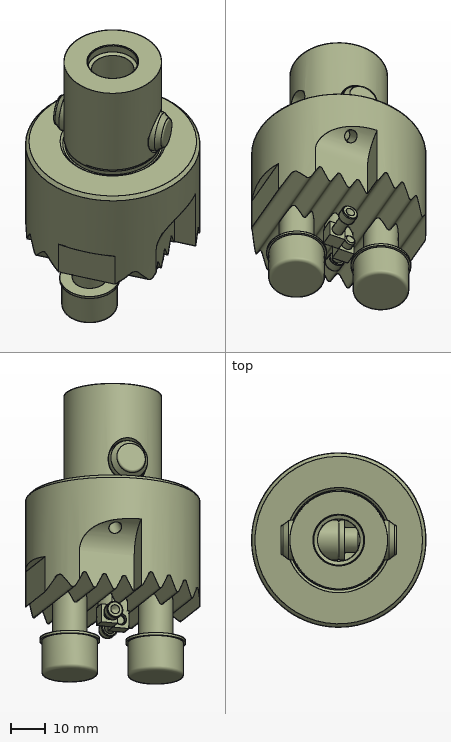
import cadquery as cq
import math


HOUSING_R = 25.0
HOUSING_TOP = 53.15
HOUSING_CHAMFER = 1.0
TOOTH_TIP_Z = 20.4
TOOTH_PITCH = 6.0
TOOTH_HALF_ANGLE = 28.0
TOOTH_ROUND_R = 0.6
WRENCH_FLAT_Y = 23.5
WRENCH_FLAT_TOP = 31.15
WRENCH_FLAT_RUNOUT = 0.7
NOTCH_FACE_X = 18.7
NOTCH_ARC_Z = 30.8
NOTCH_ARC_R = 10.0
COOLANT_D = 3.75
COOLANT_Y = 6.75
COOLANT_ANGLE = 45.0
COOLANT_DEPTH = 6.7

SHANK_R = 14.0
SHANK_TOP = 83.3
SHANK_BOTTOM = 40.0
RELIEF_R = 13.75
RELIEF_TOP = 54.4
RELIEF_TAPER = 0.75
SEAT_RIM_R = 15.1
SEAT_DEPTH = 0.75
BORE_R = 6.1
BORE_ENTRY_R = 7.2
BORE_ENTRY_DEPTH = 2.5
BORE_ENTRY_CHAMFER = 0.25
BORE_CONE_DEPTH = 0.4
BORE_BOTTOM = 53.3
DRILL_HALF_ANGLE = 59.0
RELEASE_HOLE_D = 9.5
RELEASE_HOLE_Z = 65.7

PIN_Z = 60.7
PIN_R = 5.75
PIN_TIP_X = 16.6
PIN_TIP_R = 4.3
PIN_TIP_ROUND = 0.6
PIN_CONE_X = 14.4
PIN_CONE_R = 5.6
PIN_SHOULDER_X = 13.8
PIN_END_ROUND = 0.6
NECK_START_X = 1.7
NECK_END_X = 5.6
NECK_R = 3.6
NECK_FILLET = 0.4
PIN_SINK_R = 6.6
PIN_SINK_HALF_ANGLE = 30.0

ROLLER_X = -3.0
ROLLER_Y = -12.0
ROLLER_R = 8.0
ROLLER_HEIGHT = 10.9
ROLLER_FILLET = 1.0
FLANGE_R = 8.6
FLANGE_THICKNESS = 0.75
AXLE_R = 5.0

MOUNT_TOP = 26.65

BLADE_THICKNESS = 4.2
BLADE_WIDTH = 4.9
BLADE_BOTTOM = 14.7
BLADE_TOP = 20.0
POST_R = 4.5
SCREW_Y = 2.5
SCREW_Z = 17.25
SCREW_HEAD_R = 2.4
SCREW_HEAD_LENGTH = 3.0
SCREW_NECK_R = 1.7
SCREW_NECK_LENGTH = 8.8
SCREW_EDGE_CHAMFER = 0.25
SCREW_TIP_CHAMFER = 0.4
SCREW_SOCKET_R = 1.3
SCREW_SOCKET_DEPTH = 1.25
EXTENDED_HEAD_X = 9.7
SEATED_HEAD_X = 6.25

HALF_TURN = 180
FULL_TURN = 360
CLEAR = 0.8


def cylinder_z(radius, bottom, top, x=0.0, y=0.0):
    return cq.Workplane("XY", origin=(x, y, bottom)).circle(radius).extrude(top - bottom)


def cylinder_x(radius, start, end, y, z):
    return cq.Workplane("YZ", origin=(start, y, z)).circle(radius).extrude(end - start)


def revolve_z(points):
    """Revolve (radius, z) points about the tool axis."""
    return cq.Workplane("XZ").polyline(points).close().revolve(FULL_TURN, (0, 0, 0), (0, 1, 0))


def half_turn(body):
    """The same body turned half a turn about the tool axis."""
    return body.rotate((0, 0, 0), (0, 0, 1), HALF_TURN)


def make_roller():
    wheel = cylinder_z(ROLLER_R, 0, ROLLER_HEIGHT, ROLLER_X, ROLLER_Y)
    wheel = wheel.faces("<Z").edges().fillet(ROLLER_FILLET)
    flange = cylinder_z(FLANGE_R, ROLLER_HEIGHT - FLANGE_THICKNESS, ROLLER_HEIGHT, ROLLER_X, ROLLER_Y)
    axle = cylinder_z(AXLE_R, ROLLER_FILLET, MOUNT_TOP, ROLLER_X, ROLLER_Y)
    return wheel.union(flange).union(axle)


def make_screw(head_x):
    def along_axis(radius, start, end):
        return cylinder_x(radius, start, end, SCREW_Y, SCREW_Z)

    outer_x = -head_x - SCREW_HEAD_LENGTH
    tip_x = -head_x + SCREW_NECK_LENGTH
    head = along_axis(SCREW_HEAD_R, outer_x, -head_x).edges().chamfer(SCREW_EDGE_CHAMFER)
    neck = along_axis(SCREW_NECK_R, -head_x, tip_x).faces(">X").edges().chamfer(SCREW_TIP_CHAMFER)
    socket_mouth = cq.Vector(outer_x, SCREW_Y, SCREW_Z)
    socket = cq.Workplane(
        cq.Solid.makeCone(SCREW_SOCKET_R, 0, SCREW_SOCKET_DEPTH, socket_mouth, cq.Vector(1, 0, 0))
    )
    return head.union(neck).cut(socket)


def make_blade():
    def box(width, top):
        height = top - BLADE_BOTTOM
        blank = cq.Workplane("XY").box(BLADE_THICKNESS, width, height, centered=False)
        return blank.translate((-BLADE_THICKNESS, 0, BLADE_BOTTOM))

    block = box(BLADE_WIDTH, BLADE_TOP)
    post = cylinder_z(POST_R, BLADE_BOTTOM, MOUNT_TOP).intersect(box(POST_R, MOUNT_TOP))
    screw_hole = cylinder_x(SCREW_NECK_R, -BLADE_THICKNESS, 0, SCREW_Y, SCREW_Z)
    return block.union(post).cut(screw_hole)


def make_plain_pin():
    """The -X plunger, with a stepped-down conical tip and a rounded inner end."""
    outline = (
        cq.Workplane("XZ", origin=(0, 0, PIN_Z))
        .moveTo(0, 0)
        .lineTo(-PIN_TIP_X, 0)
        .lineTo(-PIN_TIP_X, PIN_TIP_R - PIN_TIP_ROUND)
        .radiusArc((-PIN_TIP_X + PIN_TIP_ROUND, PIN_TIP_R), PIN_TIP_ROUND)
        .lineTo(-PIN_CONE_X, PIN_CONE_R)
        .lineTo(-PIN_SHOULDER_X, PIN_R)
        .lineTo(-PIN_END_ROUND, PIN_R)
        .radiusArc((0, PIN_R - PIN_END_ROUND), PIN_END_ROUND)
        .close()
    )
    return outline.revolve(FULL_TURN, (0, 0, 0), (1, 0, 0))


def make_necked_pin():
    """The +X plunger, with a filleted neck near its inner end."""
    neck_groove = (
        cq.Workplane("XZ", origin=(0, 0, PIN_Z))
        .moveTo(NECK_START_X, PIN_R + CLEAR)
        .lineTo(NECK_START_X, NECK_R + NECK_FILLET)
        .radiusArc((NECK_START_X + NECK_FILLET, NECK_R), -NECK_FILLET)
        .lineTo(NECK_END_X - NECK_FILLET, NECK_R)
        .radiusArc((NECK_END_X, NECK_R + NECK_FILLET), -NECK_FILLET)
        .lineTo(NECK_END_X, PIN_R + CLEAR)
        .close()
        .revolve(FULL_TURN, (0, 0, 0), (1, 0, 0))
    )
    return half_turn(make_plain_pin()).cut(neck_groove)


def shank_blank():
    return revolve_z(
        [
            (0, SHANK_BOTTOM),
            (RELIEF_R, SHANK_BOTTOM),
            (RELIEF_R, RELIEF_TOP - RELIEF_TAPER),
            (SHANK_R, RELIEF_TOP),
            (SHANK_R, SHANK_TOP),
            (0, SHANK_TOP),
        ]
    )


def shank_bore():
    """A wider entry at the top, then a drilled bore that ends in a cone below the lock pins."""
    entry_z = SHANK_TOP - BORE_ENTRY_DEPTH
    drill_tip = BORE_R / math.tan(math.radians(DRILL_HALF_ANGLE))
    return revolve_z(
        [
            (0, BORE_BOTTOM - drill_tip),
            (BORE_R, BORE_BOTTOM),
            (BORE_R, entry_z - BORE_CONE_DEPTH),
            (BORE_ENTRY_R, entry_z),
            (BORE_ENTRY_R, SHANK_TOP - BORE_ENTRY_CHAMFER),
            (BORE_ENTRY_R + BORE_ENTRY_CHAMFER, SHANK_TOP),
            (0, SHANK_TOP),
        ]
    )


def pin_countersink():
    """The flared mouth of the pin hole on the -X side."""
    length = (PIN_SINK_R - PIN_R) / math.tan(math.radians(PIN_SINK_HALF_ANGLE))
    start = cq.Vector(-SHANK_R, 0, PIN_Z)
    return cq.Workplane(cq.Solid.makeCone(PIN_SINK_R, PIN_R, length, start, cq.Vector(1, 0, 0)))


def make_shank():
    pin_hole = cylinder_x(PIN_R, -SHANK_R - CLEAR, SHANK_R + CLEAR, 0, PIN_Z)
    release_hole = (
        cq.Workplane("XZ", origin=(0, 0, RELEASE_HOLE_Z)).circle(RELEASE_HOLE_D / 2).extrude(-SHANK_R - CLEAR)
    )
    sink = pin_countersink()
    shank = shank_blank().cut(shank_bore()).cut(pin_hole).cut(release_hole)
    return shank.cut(sink).cut(half_turn(sink))


def teeth_gaps():
    """Everything below the rounded saw-tooth line; the teeth run straight along X, one tip at y = 0."""
    half_pitch = TOOTH_PITCH / 2
    sharp_height = half_pitch / math.tan(math.radians(TOOTH_HALF_ANGLE))
    rounding_loss = TOOTH_ROUND_R * (1 / math.sin(math.radians(TOOTH_HALF_ANGLE)) - 1)
    tip_z = TOOTH_TIP_Z - rounding_loss
    side_count = 2 * math.ceil(HOUSING_R / TOOTH_PITCH)
    zigzag = [
        (i * half_pitch, tip_z + (sharp_height if i % 2 else 0)) for i in range(-side_count, side_count + 1)
    ]
    end_y = side_count * half_pitch
    outline = zigzag + [(end_y, 0), (-end_y, 0)]
    comb = cq.Workplane("YZ").polyline(outline).close().extrude(HOUSING_R + CLEAR, both=True)
    inner = cq.selectors.BoxSelector(
        (-2 * HOUSING_R, -end_y + CLEAR, CLEAR), (2 * HOUSING_R, end_y - CLEAR, HOUSING_TOP)
    )
    return comb.edges("|X").edges(inner).fillet(TOOTH_ROUND_R)


def wrench_flat():
    """The flat on the -Y side, with a sloping run-out at its top."""
    return (
        cq.Workplane("YZ")
        .polyline(
            [
                (-WRENCH_FLAT_Y, 0),
                (-WRENCH_FLAT_Y, WRENCH_FLAT_TOP),
                (-HOUSING_R, WRENCH_FLAT_TOP + WRENCH_FLAT_RUNOUT),
                (-HOUSING_R - CLEAR, WRENCH_FLAT_TOP + WRENCH_FLAT_RUNOUT),
                (-HOUSING_R - CLEAR, 0),
            ]
        )
        .close()
        .extrude(HOUSING_R, both=True)
    )


def chip_notch():
    """The side notch at -X, from y = 0 toward +Y, whose face sweeps out to the side in an arc."""
    arc_x = -NOTCH_FACE_X - NOTCH_ARC_R
    return (
        cq.Workplane("XZ")
        .moveTo(-NOTCH_FACE_X, 0)
        .lineTo(-NOTCH_FACE_X, NOTCH_ARC_Z)
        .radiusArc((arc_x, NOTCH_ARC_Z + NOTCH_ARC_R), -NOTCH_ARC_R)
        .lineTo(arc_x, 0)
        .close()
        .extrude(-HOUSING_R)
    )


def coolant_hole():
    """A blind hole square to the notch arc, rising inward at 45 degrees."""
    angle = math.radians(COOLANT_ANGLE)
    start_x = -NOTCH_FACE_X - NOTCH_ARC_R + NOTCH_ARC_R * math.cos(angle)
    start_z = NOTCH_ARC_Z + NOTCH_ARC_R * math.sin(angle)
    inward = cq.Vector(math.cos(angle), 0, math.sin(angle))
    start = cq.Vector(start_x, COOLANT_Y, start_z) - inward * COOLANT_D
    return cq.Workplane(cq.Solid.makeCylinder(COOLANT_D / 2, COOLANT_DEPTH + COOLANT_D, start, inward))


def shank_seat():
    return revolve_z(
        [
            (0, SHANK_BOTTOM),
            (RELIEF_R, SHANK_BOTTOM),
            (RELIEF_R, HOUSING_TOP - SEAT_DEPTH),
            (SEAT_RIM_R - SEAT_DEPTH, HOUSING_TOP - SEAT_DEPTH),
            (SEAT_RIM_R, HOUSING_TOP),
            (0, HOUSING_TOP),
        ]
    )


def make_housing(mounted_bodies):
    housing = cylinder_z(HOUSING_R, 0, HOUSING_TOP).faces(">Z").edges().chamfer(HOUSING_CHAMFER)
    housing = housing.cut(shank_seat()).cut(teeth_gaps())
    for cutter in (wrench_flat(), chip_notch(), coolant_hole()):
        housing = housing.cut(cutter).cut(half_turn(cutter))
    for body in mounted_bodies:
        housing = housing.cut(body)
    return housing


rollers = [make_roller(), half_turn(make_roller())]
blades = [make_blade(), half_turn(make_blade())]
screws = [make_screw(EXTENDED_HEAD_X), half_turn(make_screw(SEATED_HEAD_X))]
pins = [make_plain_pin(), make_necked_pin()]
shank = make_shank()
housing = make_housing(rollers + blades)

bodies = [housing, shank, *pins, *rollers, *blades, *screws]
result = cq.Compound.makeCompound([body.val() for body in bodies])